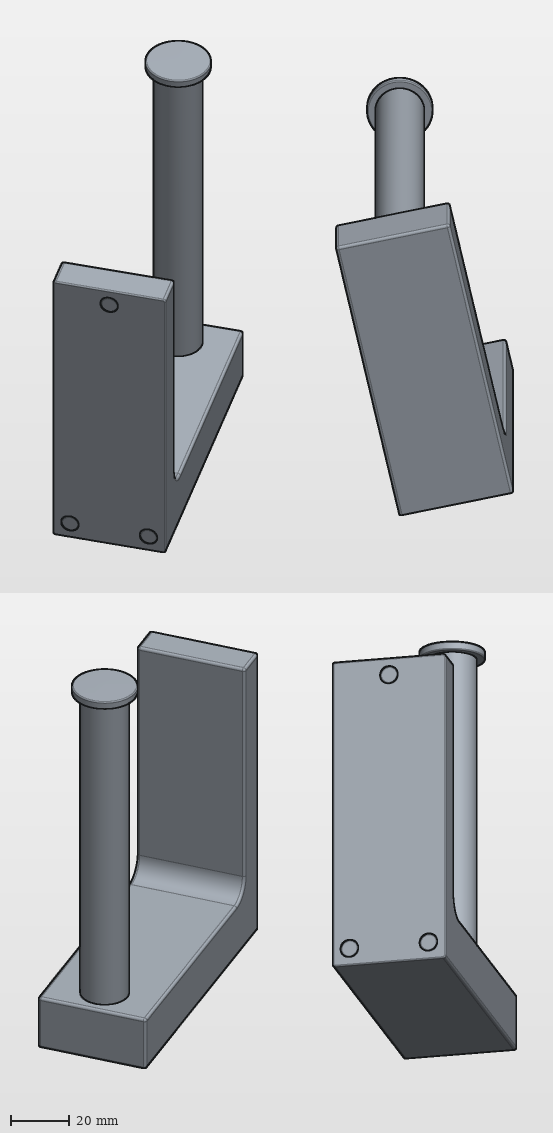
import cadquery as cq
import math

bracket_width = 40.0
bracket_depth = 102.3
bracket_height = 110.3
base_thickness = 20.1
arm_thickness = 12.0
inner_corner_radius = 7.5
edge_rounding = 1.0
back_edge_rounding = 0.5

post_diameter = 17.0
post_end_distance = 11.8
cap_diameter = 22.7
cap_edge_thickness = 3.0
cap_edge_rounding = 0.4
cap_crown = 0.1
overall_height = 142.5

plug_diameter = 6.3
plug_depth = 5.7
plug_edge_rounding = 0.4
plug_side_offset = 14.0
plug_end_distance = 6.1

post_y = bracket_depth - post_end_distance
cap_bottom = overall_height - cap_crown - cap_edge_thickness
plug_places = [
    (-plug_side_offset, plug_end_distance),
    (plug_side_offset, plug_end_distance),
    (0, bracket_height - plug_end_distance),
]


def make_plug_cylinder(x, z):
    """Plain cylinder reaching from the bracket back to the plug depth."""
    return (
        cq.Workplane("XZ", origin=(x, 0, z))
        .circle(plug_diameter / 2)
        .extrude(-plug_depth)
    )


def make_plug(x, z):
    """Round plug, flush with the bracket back, with a rounded outer rim."""
    return make_plug_cylinder(x, z).faces("<Y").edges().fillet(plug_edge_rounding)


def make_bracket():
    """L-shaped bracket with rounded edges and blind holes for the plugs."""
    body = (
        cq.Workplane("YZ", origin=(-bracket_width / 2, 0, 0))
        .polyline([
            (0, 0),
            (bracket_depth, 0),
            (bracket_depth, base_thickness),
            (arm_thickness, base_thickness),
            (arm_thickness, bracket_height),
            (0, bracket_height),
        ])
        .close()
        .extrude(bracket_width)
    )
    inner_corner = cq.selectors.NearestToPointSelector((0, arm_thickness, base_thickness))
    body = body.edges(inner_corner).fillet(inner_corner_radius)

    side_edges = body.faces("<X or >X").edges("not <Y")
    end_edges = body.faces(">Y or >Z").edges("|X and (not <Y)")
    body = body.newObject(side_edges.add(end_edges).vals()).fillet(edge_rounding)
    body = body.faces("<Y").edges().fillet(back_edge_rounding)

    for x, z in plug_places:
        body = body.cut(make_plug_cylinder(x, z))
    return body


def make_post():
    """Plain round post standing on the base."""
    return (
        cq.Workplane("XY", origin=(0, post_y, base_thickness))
        .circle(post_diameter / 2)
        .extrude(cap_bottom - base_thickness)
    )


def make_cap():
    """Round cap on the post, rounded at both rims and slightly domed on top."""
    radius = cap_diameter / 2
    top_radius = radius - cap_edge_rounding
    edge_top = cap_bottom + cap_edge_thickness

    crown_radius = (top_radius**2 + cap_crown**2) / (2 * cap_crown)
    half_angle = math.asin(top_radius / crown_radius) / 2
    crown_middle = (
        crown_radius * math.sin(half_angle),
        overall_height - crown_radius * (1 - math.cos(half_angle)),
    )
    half_section = (
        cq.Workplane("XZ", origin=(0, post_y, 0))
        .moveTo(0, cap_bottom)
        .lineTo(top_radius, cap_bottom)
        .radiusArc((radius, cap_bottom + cap_edge_rounding), -cap_edge_rounding)
        .lineTo(radius, edge_top - cap_edge_rounding)
        .radiusArc((top_radius, edge_top), -cap_edge_rounding)
        .threePointArc(crown_middle, (0, overall_height))
        .close()
    )
    return half_section.revolve(360, (0, 0, 0), (0, 1, 0))


bracket = make_bracket()
post = make_post()
cap = make_cap()
plugs = [make_plug(x, z).val() for x, z in plug_places]

result = cq.Compound.makeCompound([bracket.val(), post.val(), cap.val(), *plugs])